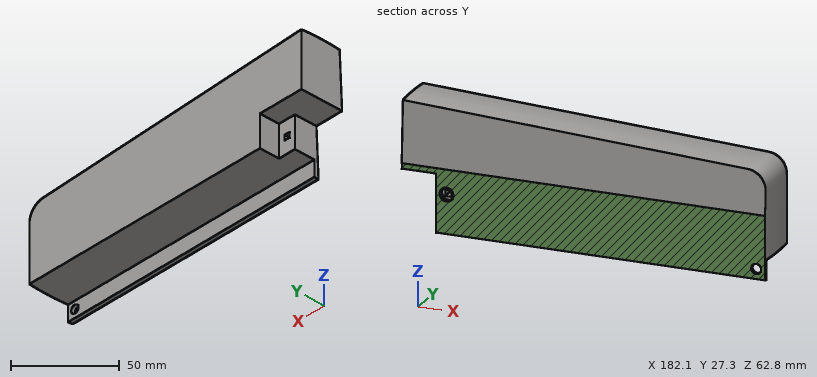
import cadquery as cq
import math

length = 182.1
depth = 27.3
height = 62.8

slope_angle = 3.0
corner_radius = 10.2
crown_ridge_y = 15.1
crown_radius = 136.6
skin_depth = 7.3

draft_setback = 3.0

notch_length = 17.1
notch_height = 29.0
flange_height = 9.7
flange_thickness = 2.7
tab_length = 10.5

screw_x = notch_length + tab_length / 2
screw_z = 19.5
counterbore_diameter = 6.5
counterbore_floor_y = 3.5
square_hole_side = 3.1
step_depth = 0.4

flange_hole_x = 177.0
flange_hole_z = 5.1
flange_hole_diameter = 4.7

overrun = 3.6

slope = math.radians(slope_angle)
corner_center_x = length - corner_radius


def ridge_height(x):
    """Height of the sloping ridge line at a given x."""
    return height - x * math.tan(slope)


corner_center_z = ridge_height(corner_center_x) - corner_radius / math.cos(slope)


def corner_point(angle):
    """Point on the rounded end corner, with the angle measured up from +X."""
    return (
        corner_center_x + corner_radius * math.cos(angle),
        corner_center_z + corner_radius * math.sin(angle),
    )


def box(x_range, y_range, z_range):
    """Axis-aligned box between the given limits."""
    sizes = [high - low for low, high in (x_range, y_range, z_range)]
    corner = (x_range[0], y_range[0], z_range[0])
    return cq.Workplane("XY").box(*sizes, centered=False).translate(corner)


def crown_drop(y):
    """Distance of the crowned skin below its ridge at a given y."""
    return crown_radius - math.sqrt(crown_radius**2 - (y - crown_ridge_y) ** 2)


def make_skin():
    """Crowned strip swept along the ridge line, round the corner and down the end."""
    start = (-overrun, ridge_height(-overrun))
    top_tangent = math.pi / 2 - slope
    path = (
        cq.Workplane("XZ")
        .moveTo(*start)
        .lineTo(*corner_point(top_tangent))
        .threePointArc(corner_point(top_tangent / 2), corner_point(0))
        .lineTo(length, 0)
    )
    section_plane = cq.Plane(
        origin=(start[0], 0, start[1]),
        xDir=(0, 1, 0),
        normal=(math.cos(slope), 0, -math.sin(slope)),
    )
    section = (
        cq.Workplane(section_plane)
        .moveTo(0, -skin_depth)
        .lineTo(0, -crown_drop(0))
        .threePointArc((crown_ridge_y, 0), (depth, -crown_drop(depth)))
        .lineTo(depth, -skin_depth)
        .close()
    )
    return section.sweep(path)


def make_core():
    """Plain block that fills the space inside the crowned skin."""
    inset = skin_depth / 2
    return (
        cq.Workplane("XZ")
        .moveTo(0, 0)
        .lineTo(0, ridge_height(0) - inset)
        .lineTo(corner_center_x, ridge_height(corner_center_x) - inset)
        .lineTo(length - inset, corner_center_z)
        .lineTo(length - inset, 0)
        .close()
        .extrude(-depth)
    )


def make_draft_envelope():
    """Space behind the drafted front face, starting at the x = 0 end."""
    return (
        cq.Workplane("YZ")
        .moveTo(0, 0)
        .lineTo(depth, 0)
        .lineTo(depth, height)
        .lineTo(draft_setback, height)
        .close()
        .extrude(length)
    )


def make_end_notch():
    """Full-depth notch at the lower x = 0 end."""
    return box((-overrun, notch_length), (-overrun, depth + overrun), (-overrun, notch_height))


def make_flange_relief():
    """Space under the body and behind the bottom flange."""
    return box(
        (0, length + overrun),
        (flange_thickness, depth + overrun),
        (-overrun, flange_height),
    )


def make_tab_recess():
    """Pocket behind the screw tab, open at the notch, back and bottom."""
    return box(
        (notch_length - overrun, notch_length + tab_length),
        (crown_ridge_y, depth + overrun),
        (flange_height - overrun, notch_height),
    )


def round_hole(x, z, diameter, y_end):
    """Round cutter along Y, from ahead of the front face to y_end."""
    return (
        cq.Workplane("XZ", origin=(x, -overrun, z))
        .circle(diameter / 2)
        .extrude(-(y_end + overrun))
    )


def make_screw_hole():
    """Counterbore, a flat-sided slot step, then the square hole through the tab."""
    half_side = square_hole_side / 2
    slot_floor_y = counterbore_floor_y + step_depth
    z_range = (screw_z - half_side, screw_z + half_side)
    slot_band = box(
        (screw_x - counterbore_diameter, screw_x + counterbore_diameter),
        (0, slot_floor_y),
        z_range,
    )
    slot = round_hole(screw_x, screw_z, counterbore_diameter, slot_floor_y).intersect(slot_band)
    square = box((screw_x - half_side, screw_x + half_side), (0, depth), z_range)
    counterbore = round_hole(screw_x, screw_z, counterbore_diameter, counterbore_floor_y)
    return counterbore.union(slot).union(square)


def make_flange_hole():
    """Round hole straight through the bottom flange."""
    return round_hole(flange_hole_x, flange_hole_z, flange_hole_diameter, flange_thickness + overrun)


result = (
    make_skin()
    .union(make_core())
    .intersect(make_draft_envelope())
    .cut(make_end_notch())
    .cut(make_flange_relief())
    .cut(make_tab_recess())
    .cut(make_screw_hole())
    .cut(make_flange_hole())
    .solids()
)